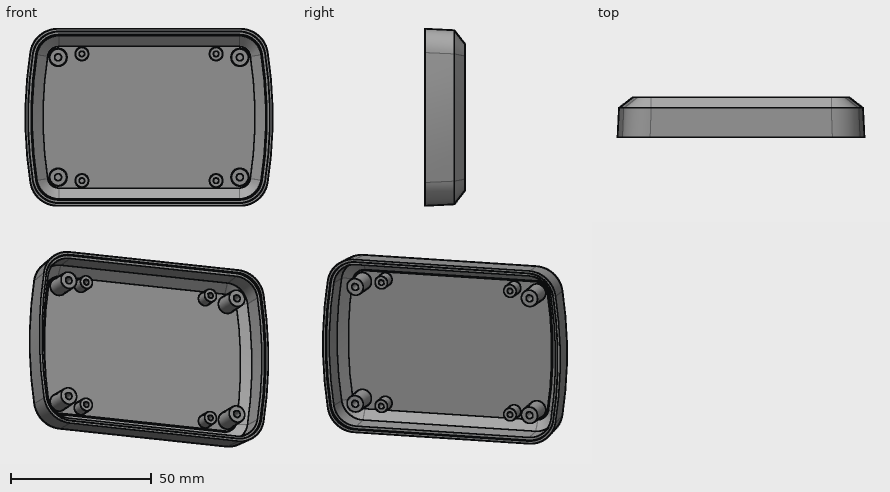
import cadquery as cq
import math

length = 87.7
height = 62.8
depth = 14.3
side_radius = 149.9
rim_corner_radius = 9.9
corner_easing = 0.4

bevel_depth = 3.9
band_depth = depth - bevel_depth
band_inset = 0.5
back_inset = 5.5

wall = 2.0
cavity_depth = depth - wall
inner_band_depth = 9.4
inner_band_inset = wall + band_inset * inner_band_depth / band_depth
floor_inset = 6.3
pad_thickness = 1.7
pad_y = cavity_depth - pad_thickness

rim_width = 1.0
step_depth = 1.05
step_inset = 1.05

boss_draft = 1.0
large_boss = {"x": 32.2, "z": 21.2, "post": 6.0, "hole": 2.45, "top_y": 1.0}
small_boss = {"x": 23.8, "z": 22.45, "post": 4.6, "hole": 1.9, "top_y": 5.1}


def plane_at(y):
    """Sketch plane at depth y, with its normal pointing toward the back (+Y)."""
    return cq.Workplane(cq.Plane(origin=(0, y, 0), xDir=(1, 0, 0), normal=(0, 1, 0)))


def outline(y, inset, easing=corner_easing):
    """Closed wire at depth y: rounded, bow-ended outline moved inward by inset."""
    half_length = length / 2 - inset
    half_height = height / 2 - inset
    bow_radius = side_radius - inset
    corner = rim_corner_radius - inset + easing
    center_z = half_height - corner
    center_gap = bow_radius - corner
    center_x = half_length - bow_radius + math.sqrt(center_gap**2 - center_z**2)
    end_angle = math.asin(center_z / center_gap)
    middle_angle = (end_angle + math.pi / 2) / 2
    end_x = center_x + corner * math.cos(end_angle)
    end_z = center_z + corner * math.sin(end_angle)
    middle_x = center_x + corner * math.cos(middle_angle)
    middle_z = center_z + corner * math.sin(middle_angle)
    sketch = (
        plane_at(y)
        .moveTo(-center_x, half_height)
        .lineTo(center_x, half_height)
        .threePointArc((middle_x, middle_z), (end_x, end_z))
        .threePointArc((half_length, 0), (end_x, -end_z))
        .threePointArc((middle_x, -middle_z), (center_x, -half_height))
        .lineTo(-center_x, -half_height)
        .threePointArc((-middle_x, -middle_z), (-end_x, -end_z))
        .threePointArc((-half_length, 0), (-end_x, end_z))
        .threePointArc((-middle_x, middle_z), (-center_x, half_height))
        .close()
    )
    return sketch.val()


def loft(*outlines):
    """Straight-walled solid through the outlines in order."""
    return cq.Workplane(cq.Solid.makeLoft(list(outlines), ruled=True))


def outer_body():
    return loft(
        outline(0, 0, easing=0),
        outline(band_depth, band_inset),
        outline(depth, back_inset),
    )


def cavity():
    return loft(
        outline(0, wall),
        outline(inner_band_depth, inner_band_inset),
        outline(cavity_depth, floor_inset),
    )


def rim_step():
    return loft(outline(0, rim_width), outline(step_depth, step_inset))


def floor_pad():
    return loft(outline(pad_y, floor_inset), outline(cavity_depth + wall / 2, floor_inset))


def boss_circles(boss, diameter):
    """One circle per corner on the plane of the boss tops."""
    centers = [(side * boss["x"], end * boss["z"]) for side in (-1, 1) for end in (-1, 1)]
    return plane_at(boss["top_y"]).pushPoints(centers).circle(diameter / 2)


def add_bosses(body, boss):
    boss_height = pad_y - boss["top_y"]
    posts = boss_circles(boss, boss["post"]).extrude(boss_height + pad_thickness / 2, taper=-boss_draft)
    holes = boss_circles(boss, boss["hole"]).extrude(boss_height)
    return body.union(posts).cut(holes)


result = outer_body().cut(cavity()).cut(rim_step()).union(floor_pad())
result = add_bosses(result, large_boss)
result = add_bosses(result, small_boss)